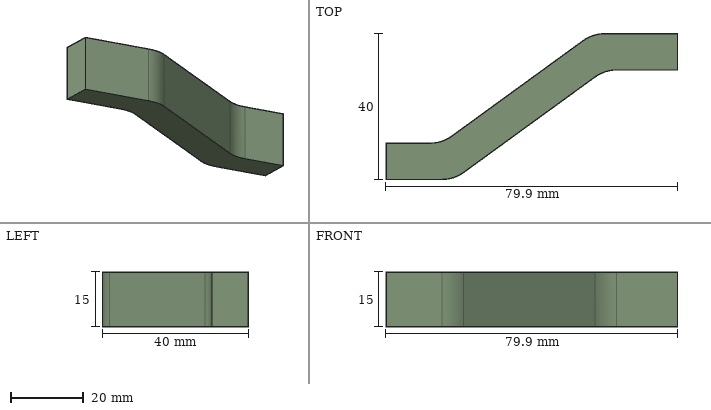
import cadquery as cq
import math

length = 79.9
width = 40.0
height = 15.0
bar_width = 10.0
slope_angle = 36.0
bend_radius = 10.0
upper_leg_length = 20.0

offset = width - bar_width
slope_run = offset / math.tan(math.radians(slope_angle))
corner_shift = bar_width * math.tan(math.radians(slope_angle / 2))
upper_corner_x = length - upper_leg_length
lower_corner_x = upper_corner_x - slope_run


def cranked_bar():
    """Sharp-cornered bar: lower leg, sloping leg, upper leg."""
    outline = [
        (0, 0),
        (lower_corner_x, 0),
        (upper_corner_x, offset),
        (length, offset),
        (length, width),
        (upper_corner_x - corner_shift, width),
        (lower_corner_x - corner_shift, bar_width),
        (0, bar_width),
    ]
    return cq.Workplane("XY").polyline(outline).close().extrude(height)


def round_bends(bar):
    """Fillet the upright edges at the bends, leaving the end faces square."""
    bend_edges = bar.edges("|Z and (not <X) and (not >X)")
    return bend_edges.fillet(bend_radius)


result = round_bends(cranked_bar())